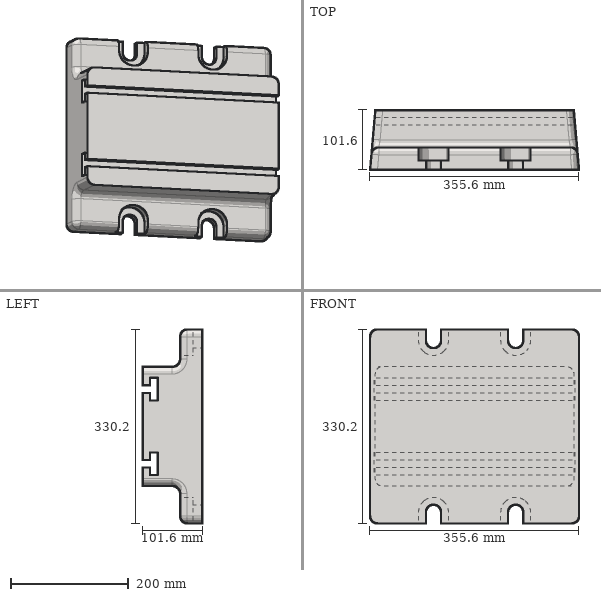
import cadquery as cq
import math

width = 355.6
depth = 101.6
height = 330.2

flange_thickness = 38.1
block_height = 203.2
side_draft_angle = 5.0
edge_radius = 12.7

slot_spacing = 127.0
slot_neck_width = 12.7
slot_neck_depth = 12.7
slot_head_width = 38.1
slot_head_depth = 12.7

notch_spacing = 139.7
notch_width = 25.4
notch_centre_inset = 19.05
bolt_head_width = 50.8
bolt_seat_thickness = 15.875


def make_stepped_body():
    """Flange and block profile, extruded over the full width along X."""
    flange = cq.Workplane("XY").box(width, flange_thickness, height, centered=(True, False, True))
    block = cq.Workplane("XY").box(width, depth, block_height, centered=(True, False, True))
    return flange.union(block)


def make_draft_envelope():
    """Prism whose sides lean inwards from the front face to the back face."""
    half_front = width / 2
    half_back = half_front - depth * math.tan(math.radians(side_draft_angle))
    return (
        cq.Workplane("XY")
        .polyline([(-half_front, 0), (half_front, 0), (half_back, depth), (-half_back, depth)])
        .close()
        .extrude(height / 2, both=True)
    )


def round_edges(body):
    """Round every edge except the outlines of the flat front and back faces."""
    flat_outlines = body.faces("<Y or >Y").edges().vals()
    rounded = [
        edge
        for edge in body.edges().vals()
        if not any(edge.isSame(outline) for outline in flat_outlines)
    ]
    return body.newObject(rounded).fillet(edge_radius)


def make_t_slot(z_centre):
    """T-slot cutter passing through the block along X."""
    slot_depth = slot_neck_depth + slot_head_depth
    neck = (
        cq.Workplane("XY")
        .box(width, slot_depth, slot_neck_width, centered=(True, False, True))
        .translate((0, depth - slot_depth, z_centre))
    )
    head = (
        cq.Workplane("XY")
        .box(width, slot_head_depth, slot_head_width, centered=(True, False, True))
        .translate((0, depth - slot_depth, z_centre))
    )
    return neck.union(head)


def make_open_slot(x_centre, side, slot_width, y_start, y_end):
    """Round-ended slot cutter, open at the top (side = 1) or bottom (side = -1)."""
    radius = slot_width / 2
    z_outer = side * height / 2
    z_round = side * (height / 2 - notch_centre_inset)
    return (
        cq.Workplane("XZ", origin=(0, y_start, 0))
        .moveTo(x_centre - radius, z_outer)
        .lineTo(x_centre - radius, z_round)
        .threePointArc((x_centre, z_round - side * radius), (x_centre + radius, z_round))
        .lineTo(x_centre + radius, z_outer)
        .close()
        .extrude(y_start - y_end)
    )


def make_bolt_notch(x_centre, side):
    """Shank notch through the flange with a wider bolt-head recess behind it."""
    shank = make_open_slot(x_centre, side, notch_width, 0, flange_thickness)
    head = make_open_slot(x_centre, side, bolt_head_width, bolt_seat_thickness, flange_thickness)
    return shank.union(head)


result = round_edges(make_stepped_body().intersect(make_draft_envelope()))

for slot_side in (-1, 1):
    result = result.cut(make_t_slot(slot_side * slot_spacing / 2))

for x_side in (-1, 1):
    for z_side in (-1, 1):
        result = result.cut(make_bolt_notch(x_side * notch_spacing / 2, z_side))